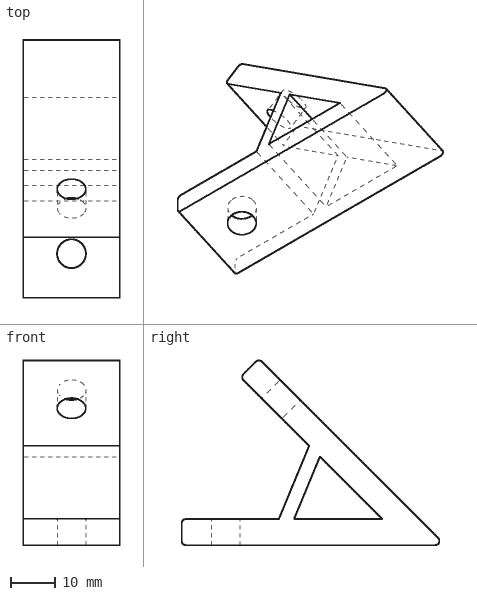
import cadquery as cq
import math

width = 22.0
overall_length = 58.6
arm_thickness = 6.0
arm_angle = 45.0
edge_radius = 1.0
strut_inner = 20.0
strut_outer = 23.5
hole_diameter = 6.5
hole_from_tip = 10.0

half_angle = math.radians(arm_angle / 2)
apex_setback = edge_radius / math.tan(half_angle) - edge_radius
arm_length = overall_length + apex_setback
inner_corner = arm_thickness / math.tan(half_angle)


def make_arm():
    """Flat arm with its sharp apex on the X axis, running toward -Y."""
    arm = (
        cq.Workplane("YZ")
        .polyline([(0, 0), (-arm_length, 0), (-arm_length, arm_thickness), (-inner_corner, arm_thickness)])
        .close()
        .extrude(width / 2, both=True)
    )
    hole = (
        cq.Workplane("XY")
        .center(0, hole_from_tip - arm_length)
        .circle(hole_diameter / 2)
        .extrude(arm_thickness)
    )
    return arm.faces("<Y").edges("|X").fillet(edge_radius).cut(hole)


def on_raised_arm(distance):
    """Point on the raised arm's inner face, measured from the inner corner."""
    angle = math.radians(arm_angle)
    return (
        -inner_corner - distance * math.cos(angle),
        arm_thickness + distance * math.sin(angle),
    )


def make_strut():
    """Slanted web joining the two arms at equal distances from the inner corner."""
    return (
        cq.Workplane("YZ")
        .polyline([
            (-inner_corner - strut_inner, arm_thickness),
            (-inner_corner - strut_outer, arm_thickness),
            on_raised_arm(strut_outer),
            on_raised_arm(strut_inner),
        ])
        .close()
        .extrude(width / 2, both=True)
    )


flat_arm = make_arm()
raised_arm = flat_arm.mirror("XY").rotate((0, 0, 0), (1, 0, 0), -arm_angle)
bracket = flat_arm.union(raised_arm).union(make_strut())

bracket = bracket.edges(cq.selectors.NearestToPointSelector((0, 0, 0))).fillet(edge_radius)
result = bracket.translate((0, arm_length - overall_length / 2, 0))